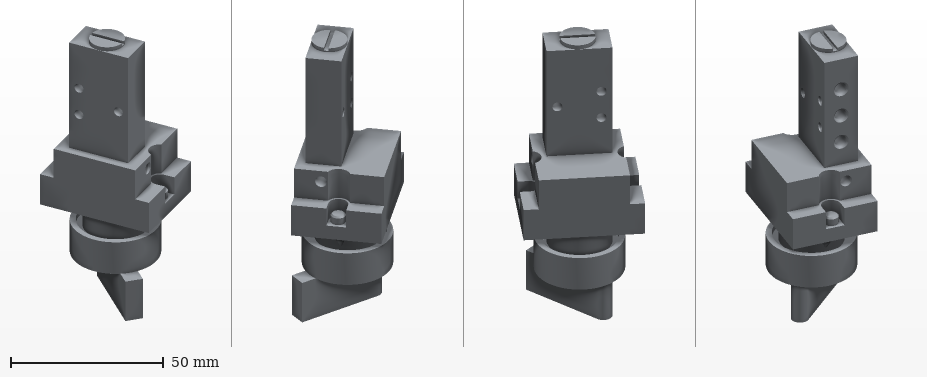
import cadquery as cq

flange_height = 11.5
base_height = 11.0
block_height = 40.0
base_z = flange_height
block_z = base_z + base_height
block_top_z = block_z + block_height

flange_length = 40.0
base_length = 30.0
body_depth = 30.0

block_length = 21.7
block_depth = 12.0
block_y = -block_depth / 2

cap_diameter = 11.8
cap_height = 1.5
cap_slot_width = 1.5
cap_slot_depth = 1.0

hole_diameter = 3.3
hole_x = 7.25
hole_pitch = 10.0
port_diameter = 4.13
port_mouth_diameter = 5.2
port_depth = 8.0
port_pitch = 10.0
port_count = 3
port_middle_z = block_top_z - 21.4

cross_hole_diameter = 4.0
cross_hole_z = block_z - 4.0

screw_x = 16.5
base_relief_radius = 4.0
screw_pocket_radius = 3.3
screw_pocket_floor_z = 5.0
screw_head_diameter = 5.0
screw_head_height = 3.0
screw_head_chamfer = 0.5

tip_x = 13.75
tip_tilt = 15.0
tip_diameter = 4.0
tip_end_diameter = 1.0
tip_root = 2.0
tip_shank_length = 2.7
tip_cone_length = 4.2

neck_gap = 8.0
neck_diameter = 21.7
collar_diameter = 30.0
collar_height = 12.0
recess_diameter = 26.0
recess_depth = 2.0
collar_top_z = -neck_gap
collar_bottom_z = collar_top_z - collar_height
recess_floor_z = collar_top_z - recess_depth

handle_width = 6.0
handle_height = 15.0
handle_reach = 20.0
handle_round_center = -10.0
handle_angle = -45.0


def plate(length, depth, height, y, z):
    return cq.Workplane("XY").box(length, depth, height, centered=(True, True, False)).translate((0, y, z))


def disc(diameter, height, x, y, z):
    return cq.Workplane("XY").circle(diameter / 2).extrude(height).translate((x, y, z))


def slotted_cap():
    cap = disc(cap_diameter, cap_height, 0, block_y, block_top_z)
    slot_z = block_top_z + cap_height - cap_slot_depth
    return cap.cut(plate(cap_diameter, cap_slot_width, cap_slot_depth, block_y, slot_z))


def block_holes():
    half_pitch = hole_pitch / 2
    centers = [
        (-hole_x, port_middle_z + half_pitch),
        (-hole_x, port_middle_z - half_pitch),
        (hole_x, port_middle_z),
    ]
    return cq.Workplane("XZ").pushPoints(centers).circle(hole_diameter / 2).extrude(block_depth)


def air_port(z):
    """Blind round hole with a countersunk mouth, bored in the +X direction."""
    mouth_radius = port_mouth_diameter / 2
    bore_radius = port_diameter / 2
    countersink_depth = mouth_radius - bore_radius
    profile = (
        cq.Workplane("XY")
        .moveTo(0, 0)
        .lineTo(0, mouth_radius)
        .lineTo(countersink_depth, bore_radius)
        .lineTo(port_depth, bore_radius)
        .lineTo(port_depth, 0)
        .close()
    )
    return profile.revolve(360, (0, 0, 0), (1, 0, 0)).translate((-block_length / 2, block_y, z))


def cross_hole():
    hole = cq.Workplane("YZ").center(block_y, cross_hole_z).circle(cross_hole_diameter / 2)
    return hole.extrude(base_length / 2, both=True)


def base_relief(side):
    """Round relief in the end of the base, above the screw."""
    return disc(2 * base_relief_radius, base_height, side * screw_x, 0, base_z)


def screw_pocket(side):
    """Pocket in the flange for the screw head, round inside and open at the flange end."""
    height = flange_height - screw_pocket_floor_z
    pocket = disc(2 * screw_pocket_radius, height, side * screw_x, 0, screw_pocket_floor_z)
    opening_length = flange_length / 2 - screw_x
    opening = plate(opening_length, 2 * screw_pocket_radius, height, 0, screw_pocket_floor_z)
    return pocket.union(opening.translate((side * (screw_x + opening_length / 2), 0, 0)))


def screw_head(side):
    head = disc(screw_head_diameter, screw_head_height, side * screw_x, 0, screw_pocket_floor_z)
    return head.faces(">Z").chamfer(screw_head_chamfer)


def screw_tip(side):
    """Pointed tip that leans toward the neck, its upper end inside the flange."""
    profile = (
        cq.Workplane("XZ")
        .moveTo(0, tip_root)
        .lineTo(tip_diameter / 2, tip_root)
        .lineTo(tip_diameter / 2, -tip_shank_length)
        .lineTo(tip_end_diameter / 2, -tip_shank_length - tip_cone_length)
        .lineTo(0, -tip_shank_length - tip_cone_length)
        .close()
    )
    tip = profile.revolve(360, (0, 0, 0), (0, 1, 0))
    return tip.rotate((0, 0, 0), (0, 1, 0), side * tip_tilt).translate((side * tip_x, 0, 0))


def recessed_collar():
    collar = disc(collar_diameter, collar_height, 0, 0, collar_bottom_z)
    return collar.cut(disc(recess_diameter, recess_depth, 0, 0, recess_floor_z))


def handle():
    """Bar with one round end, below the collar."""
    half_width = handle_width / 2
    bar = (
        cq.Workplane("XY")
        .moveTo(handle_reach, half_width)
        .lineTo(handle_round_center, half_width)
        .threePointArc((handle_round_center - half_width, 0), (handle_round_center, -half_width))
        .lineTo(handle_reach, -half_width)
        .close()
        .extrude(-handle_height)
    )
    return bar.rotate((0, 0, 0), (0, 0, 1), handle_angle).translate((0, 0, collar_bottom_z))


def make_valve():
    body = plate(base_length, body_depth, base_height, 0, base_z)
    body = body.union(plate(block_length, block_depth, block_height, block_y, block_z))
    body = body.union(slotted_cap())
    body = body.cut(block_holes()).cut(cross_hole())
    for index in range(port_count):
        offset = index - (port_count - 1) / 2
        body = body.cut(air_port(port_middle_z + offset * port_pitch))
    for side in (-1, 1):
        body = body.cut(base_relief(side))
    return body


def make_operator():
    body = plate(flange_length, body_depth, flange_height, 0, 0)
    for side in (-1, 1):
        body = body.cut(screw_pocket(side))
        body = body.union(screw_head(side)).union(screw_tip(side))
    body = body.union(disc(neck_diameter, -recess_floor_z, 0, 0, recess_floor_z))
    return body.union(recessed_collar()).union(handle())


valve = make_valve()
operator = make_operator()
result = cq.Compound.makeCompound([*valve.solids().vals(), *operator.solids().vals()])